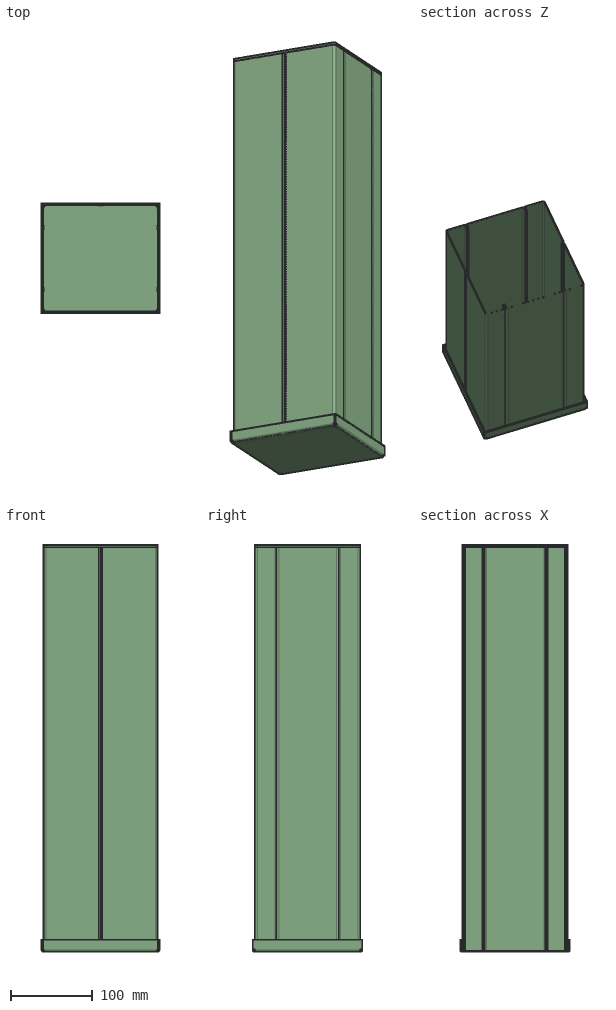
import cadquery as cq

SHEET = 1.5
BEND_RADIUS = 3.0

BASE_X = 145.0
BASE_Y = 135.0
BASE_Z = 15.0
CORNER_SLIT = 0.5

TOTAL_Z = 499.5
COLUMN_X = 140.0
COLUMN_Y = 130.0
CAP_Z = 3.0
COLUMN_BOTTOM = SHEET
COLUMN_HEIGHT = TOTAL_Z - CAP_Z - COLUMN_BOTTOM

INNER_BEND_RADIUS = (BASE_X - COLUMN_X) / 2 - SHEET

PANEL_Y = 77.0
FLANGE_DEPTH = 7.5
CHANNEL_LIP_RADIUS = 2.0

CREASE_WIDTH = 4.0
CREASE_DEPTH = CREASE_WIDTH / 2

CHANNEL_Y = (COLUMN_Y - PANEL_Y) / 2


def folded_strip(width, length):
    """Upward-folded strip: U profile of the given width in XZ, centred length along Y."""
    outer = (
        cq.Workplane("XY")
        .box(width, length, BASE_Z, centered=(True, True, False))
        .edges("|Y and <Z")
        .fillet(BEND_RADIUS)
    )
    inner = (
        cq.Workplane("XY")
        .box(width - 2 * SHEET, length, BASE_Z, centered=(True, True, False))
        .translate((0, 0, SHEET))
        .edges("|Y and <Z")
        .fillet(INNER_BEND_RADIUS)
    )
    return outer.cut(inner)


def upright_walls(width, length):
    """Pair of flat walls above the bends, facing +X and -X."""
    wall = cq.Workplane("XY").box(SHEET, length, BASE_Z - BEND_RADIUS, centered=(True, True, False))
    offset = (width - SHEET) / 2
    left = wall.translate((-offset, 0, BEND_RADIUS))
    right = wall.translate((offset, 0, BEND_RADIUS))
    return left.union(right)


def make_base():
    """Folded tray; the walls at the X ends run full length and the others fit between them."""
    between_walls = BASE_X - 2 * (SHEET + CORNER_SLIT)
    side_fold = folded_strip(BASE_X, BASE_Y - 2 * BEND_RADIUS)
    side_walls = upright_walls(BASE_X, BASE_Y)
    front_fold = folded_strip(BASE_Y, BASE_X - 2 * BEND_RADIUS).rotate((0, 0, 0), (0, 0, 1), 90)
    front_walls = upright_walls(BASE_Y, between_walls).rotate((0, 0, 0), (0, 0, 1), 90)
    return side_fold.union(front_fold).union(side_walls).union(front_walls)


def make_cap():
    """Flat plate that closes the top of the column."""
    plate = cq.Workplane("XY").box(COLUMN_X, COLUMN_Y, CAP_Z, centered=(True, True, False))
    return plate.edges("|Z").fillet(BEND_RADIUS).translate((0, 0, TOTAL_Z - CAP_Z))


def make_channel():
    """Folded channel on the -Y side, with a V crease outside and lips beside the panels."""
    outer_y = -COLUMN_Y / 2
    block = (
        cq.Workplane("XY")
        .box(COLUMN_X, CHANNEL_Y, COLUMN_HEIGHT, centered=(True, False, False))
        .translate((0, outer_y, COLUMN_BOTTOM))
        .edges("|Z and <Y")
        .fillet(BEND_RADIUS)
        .edges("|Z and >Y")
        .fillet(CHANNEL_LIP_RADIUS)
    )
    crease = (
        cq.Workplane("XY")
        .workplane(offset=COLUMN_BOTTOM)
        .moveTo(-CREASE_WIDTH / 2, outer_y)
        .lineTo(CREASE_WIDTH / 2, outer_y)
        .lineTo(0, outer_y + CREASE_DEPTH)
        .close()
        .extrude(COLUMN_HEIGHT)
    )
    tube = block.cut(crease).faces("<Z or >Z").shell(-SHEET, kind="intersection")
    opening = (
        cq.Workplane("XY")
        .box(COLUMN_X - 2 * FLANGE_DEPTH, 2 * SHEET, 2 * TOTAL_Z)
        .translate((0, -PANEL_Y / 2, 0))
    )
    return tube.cut(opening)


def make_panel():
    """Folded panel on the +X side, open towards the inside of the column."""
    block = (
        cq.Workplane("XY")
        .box(FLANGE_DEPTH, PANEL_Y, COLUMN_HEIGHT, centered=(False, True, False))
        .translate((COLUMN_X / 2 - FLANGE_DEPTH, 0, COLUMN_BOTTOM))
        .edges("|Z and >X")
        .fillet(BEND_RADIUS)
    )
    return block.faces("<X or <Z or >Z").shell(-SHEET)


def turned_pair(body):
    """The body and its copy turned half a turn about the column axis."""
    return [body.rotate((0, 0, 0), (0, 0, 1), angle).val() for angle in (0, 180)]


base = make_base()
cap = make_cap()
channels = turned_pair(make_channel())
panels = turned_pair(make_panel())

result = cq.Compound.makeCompound([base.val(), cap.val(), *channels, *panels])